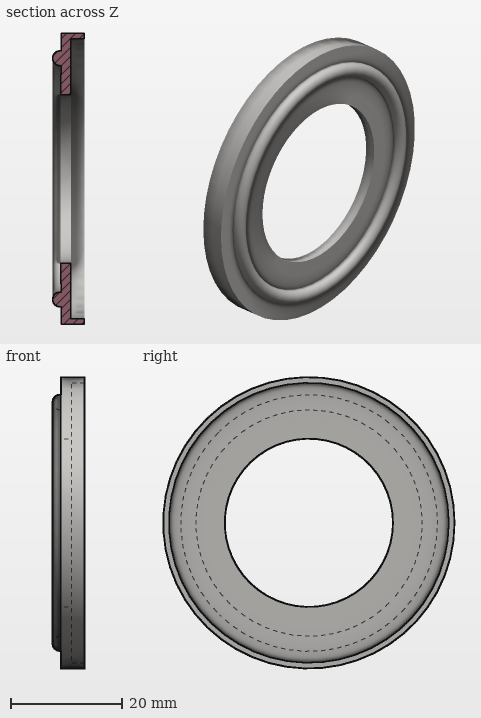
import cadquery as cq

outer_radius = 26.25
bore_radius = 15.1
total_depth = 5.8
rim_face_x = 1.5

bead_outer_radius = 23.1
bead_half_width = 1.35
bead_center_radius = bead_outer_radius - bead_half_width
bead_inner_radius = bead_center_radius - bead_half_width

web_taper = 0.1
web_bore_x = rim_face_x - web_taper
web_back_x = 3.35
lip_width = 1.05
lip_inner_radius = outer_radius - lip_width

profile = (
    cq.Workplane("XY")
    .moveTo(web_bore_x, bore_radius)
    .lineTo(rim_face_x, bead_inner_radius)
    .lineTo(bead_half_width, bead_inner_radius)
    .threePointArc((0, bead_center_radius), (bead_half_width, bead_outer_radius))
    .lineTo(rim_face_x, bead_outer_radius)
    .lineTo(rim_face_x, outer_radius)
    .lineTo(total_depth, outer_radius)
    .lineTo(total_depth, lip_inner_radius)
    .lineTo(web_back_x, lip_inner_radius)
    .lineTo(web_back_x, bore_radius)
    .close()
)

result = profile.revolve(360, (0, 0, 0), (1, 0, 0))